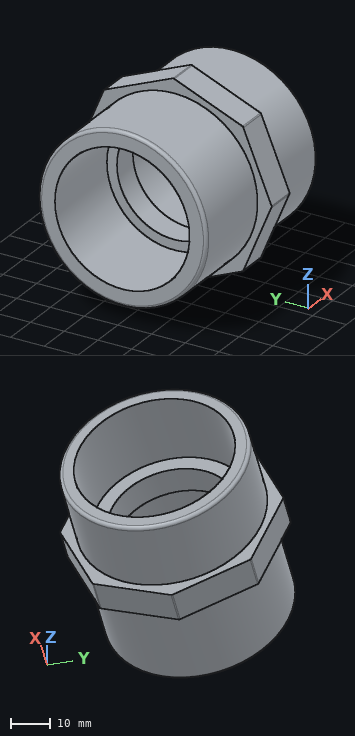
import cadquery as cq
import math

body_length = 55.4
body_diameter = 50.0
rim_fillet = 1.0

collar_outer_diameter = 58.35
collar_sides = 8
collar_corner_radius = 0.5
collar_offset = 25.55
collar_width = 9.0

passage_diameter = 34.0
left_socket_diameter = 40.0
left_socket_depth = 26.0
right_socket_diameter = 42.2
right_socket_depth = 21.4

left_end = -body_length / 2
right_end = body_length / 2


def cylinder_along_x(start, length, diameter):
    """Solid cylinder on the X axis, running towards +X from start."""
    return cq.Workplane("YZ", origin=(start, 0, 0)).circle(diameter / 2).extrude(length)


def make_collar():
    """Octagonal prism around the body, its slightly rounded corners reaching the outer diameter."""
    corner_loss = collar_corner_radius * (1 / math.cos(math.pi / collar_sides) - 1)
    sharp_diameter = collar_outer_diameter + 2 * corner_loss
    plane = cq.Workplane("YZ", origin=(left_end + collar_offset, 0, 0))
    prism = plane.polygon(collar_sides, sharp_diameter).extrude(collar_width)
    return prism.edges("|X").fillet(collar_corner_radius)


body = cylinder_along_x(left_end, body_length, body_diameter)
body = body.faces("<X or >X").edges().fillet(rim_fillet)
body = body.union(make_collar())

body = body.cut(cylinder_along_x(left_end, body_length, passage_diameter))
body = body.cut(cylinder_along_x(left_end, left_socket_depth, left_socket_diameter))
right_socket_start = right_end - right_socket_depth
result = body.cut(cylinder_along_x(right_socket_start, right_socket_depth, right_socket_diameter))